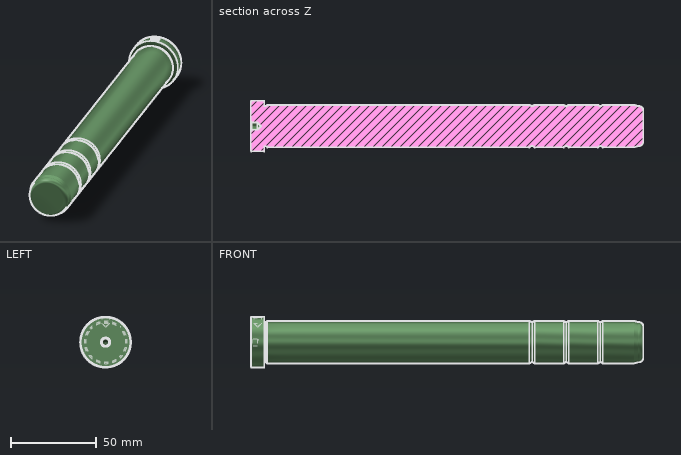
import cadquery as cq
import math

length = 230.0
head_radius = 15.0
head_length = 8.0
head_chamfer = 0.5
shank_diameter = 25.0
shank_radius = shank_diameter / 2

undercut_width = 1.5
undercut_depth = 0.7
undercut_slope = 0.7

groove_start = 163.3
groove_pitch = 20.0
groove_count = 3
groove_width = 3.0
groove_depth = 1.0

lead_length = 5.5
nose_length = 3.0
lead_drop = 0.7
tip_radius = 9.5

hole_mouth_radius = 2.8
hole_radius = 2.0
centre_hole_depth = 6.0
rim_hole_depth = 6.0
rim_hole_x = head_length / 2


def make_pin():
    """Revolve the half section of the pin about the X axis."""
    undercut_end = head_length + undercut_width
    undercut_radius = shank_radius - undercut_depth
    profile = (
        cq.Workplane("XY")
        .lineTo(0, head_radius - head_chamfer)
        .lineTo(head_chamfer, head_radius)
        .lineTo(head_length, head_radius)
        .lineTo(head_length, undercut_radius)
        .lineTo(undercut_end - undercut_slope, undercut_radius)
        .lineTo(undercut_end, shank_radius)
    )
    for index in range(groove_count):
        start = groove_start + index * groove_pitch
        profile = (
            profile.lineTo(start, shank_radius)
            .lineTo(start + groove_width / 2, shank_radius - groove_depth)
            .lineTo(start + groove_width, shank_radius)
        )
    nose_radius = shank_radius - lead_drop
    nose_drop = nose_radius - tip_radius
    diagonal = math.sqrt(0.5)
    nose_middle = (
        length - nose_length * (1 - diagonal),
        tip_radius + nose_drop * diagonal,
    )
    profile = (
        profile.lineTo(length - lead_length, shank_radius)
        .lineTo(length - nose_length, nose_radius)
        .threePointArc(nose_middle, (length, tip_radius))
        .lineTo(length, 0)
        .close()
    )
    return profile.revolve(360, (0, 0, 0), (1, 0, 0))


def countersunk_hole(depth):
    """Blind hole along +X from the origin, with a 90 degree mouth."""
    countersink_depth = hole_mouth_radius - hole_radius
    return (
        cq.Workplane("XY")
        .lineTo(0, hole_mouth_radius)
        .lineTo(countersink_depth, hole_radius)
        .lineTo(depth - hole_radius, hole_radius)
        .lineTo(depth, 0)
        .close()
        .revolve(360, (0, 0, 0), (1, 0, 0))
    )


centre_hole = countersunk_hole(centre_hole_depth)
rim_hole = (
    countersunk_hole(rim_hole_depth)
    .rotate((0, 0, 0), (0, 1, 0), 90)
    .translate((rim_hole_x, 0, head_radius))
)

result = make_pin().cut(centre_hole).cut(rim_hole)